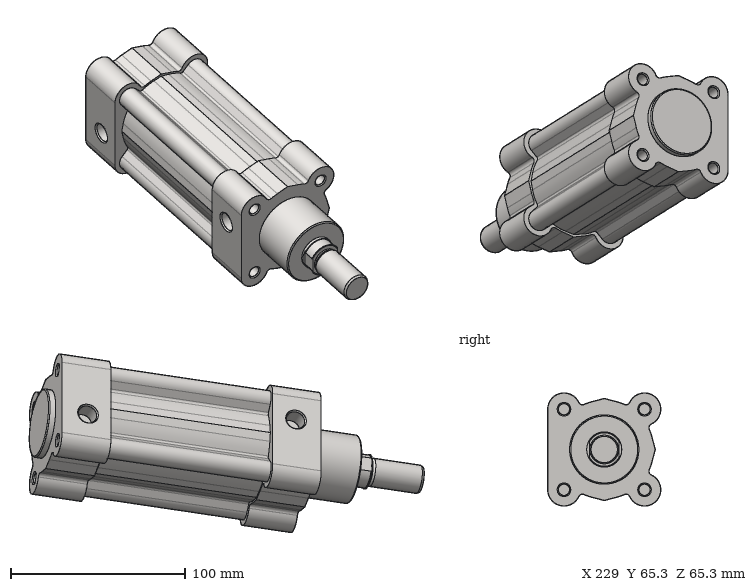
import cadquery as cq
import math



REAR_COVER_START = 4.1
TUBE_START = 33.5
TUBE_END = 130.5
FRONT_COVER_END = 159.5
COLLAR_END = 188.0
FLATS_START = 189.2
RELIEF_START = 189.8
RELIEF_END = 196.7
SHOULDER_END = 197.2
NECK_END = 198.3
ROD_TIP = 229.0

LOBE_PITCH = 46.3
LOBE_OFFSET = LOBE_PITCH / 2

JUNCTION_MIN_ANGLE = 22.0
RADIUS_TOLERANCE = 0.11

COVER_LOBE_RADIUS = 9.5
COVER_BODY_RADIUS = 28.5
COVER_RIDGE_ANGLE = 14.7
COVER_FILLET = 2.3
PORT_FACE = LOBE_OFFSET + COVER_LOBE_RADIUS
COLLAR_RADIUS = 20.0
COLLAR_CHAMFER = 0.7

SCREW_RADIUS = 3.2
SCREW_DEPTH = 13.7
SCREW_MOUTH_RADIUS = 4.0
SCREW_MOUTH_DEPTH = 0.7

PORT_RADIUS = 5.5
PORT_DEPTH = 11.5
PORT_MOUTH_RADIUS = 6.2
PORT_MOUTH_DEPTH = 1.0
PORT_HEIGHT = 8.2
REAR_PORT_X = 19.7
FRONT_PORT_X = 144.5

TUBE_LOBE_RADIUS = 6.2
TUBE_BODY_RADIUS = 27.3
TUBE_RIDGE_ANGLE = 11.1
TUBE_FILLET = 1.5

ROD_RADIUS = 10.0
RELIEF_RADIUS = 9.6
FLATS_WIDTH = 17.2
THREAD_RADIUS = 8.2
THREAD_CHAMFER_DEPTH = 0.7
THREAD_CHAMFER_LENGTH = 1.4

QUADRANTS = (0, 90, 180, 270)
DIAGONALS = (45, 135, 225, 315)


def section_plane(x):
    """Plane across the axis: local x is +Y, local y is +Z, extrusion goes towards +X."""
    return cq.Workplane("YZ", origin=(x, 0, 0))


def axial_cylinder(start, end, radius):
    return section_plane(start).circle(radius).extrude(end - start)


def ridged_body(start, end, radius, ridge_angle):
    """Round bar whose four sides rise tangentially to a shallow ridge."""
    half_width = radius * math.sin(math.radians(ridge_angle))
    tangent_height = radius * math.cos(math.radians(ridge_angle))
    peak_height = radius / math.cos(math.radians(ridge_angle))
    ridge_outline = [(0, 0), (half_width, tangent_height), (0, peak_height), (-half_width, tangent_height)]
    ridge = section_plane(start).polyline(ridge_outline).close().extrude(end - start)
    body = axial_cylinder(start, end, radius)
    for angle in QUADRANTS:
        body = body.union(ridge.rotate((0, 0, 0), (1, 0, 0), angle))
    return body


def corner_lobes(start, end, radius):
    corners = section_plane(start).rect(LOBE_PITCH, LOBE_PITCH, forConstruction=True).vertices()
    return corners.circle(radius).extrude(end - start)


def fillet_lobe_junctions(profile, body_radius, fillet_radius):
    """Round the inside corners where the lobes or their webs leave the round body."""

    def is_junction(edge):
        centre = edge.Center()
        angle_from_side = math.degrees(math.atan2(abs(centre.y), abs(centre.z)))
        off_ridge = JUNCTION_MIN_ANGLE < angle_from_side < 90 - JUNCTION_MIN_ANGLE
        return off_ridge and abs(math.hypot(centre.y, centre.z) - body_radius) < RADIUS_TOLERANCE

    junctions = [edge for edge in profile.edges("|X").vals() if is_junction(edge)]
    return profile.newObject(junctions).fillet(fillet_radius)


def cover_block(start, end):
    """Lobed block with a full-width flat on the -Y side."""
    length = end - start
    block = ridged_body(start, end, COVER_BODY_RADIUS, COVER_RIDGE_ANGLE)
    block = block.union(corner_lobes(start, end, COVER_LOBE_RADIUS))
    port_side = section_plane(start).center(-PORT_FACE / 2, 0).rect(PORT_FACE, LOBE_PITCH).extrude(length)
    return fillet_lobe_junctions(block.union(port_side), COVER_BODY_RADIUS, COVER_FILLET)


def chamfered_drill(radius, depth, mouth_radius, mouth_depth):
    """Cutting tool for a blind hole that enters the Z = 0 plane towards +Z."""
    half_section = [(0, 0), (mouth_radius, 0), (radius, mouth_depth), (radius, depth), (0, depth)]
    return cq.Workplane("XZ").polyline(half_section).close().revolve(360, (0, 0, 0), (0, 1, 0))


def cut_port(cover, x, z):
    drill = chamfered_drill(PORT_RADIUS, PORT_DEPTH, PORT_MOUTH_RADIUS, PORT_MOUTH_DEPTH)
    drill = drill.rotate((0, 0, 0), (1, 0, 0), -90)
    return cover.cut(drill.translate((x, -PORT_FACE, z)))


def cut_screw_holes(cover, face_x, inward):
    """Four blind holes on the lobe centres; inward is +1 or -1 along X."""
    drill = chamfered_drill(SCREW_RADIUS, SCREW_DEPTH, SCREW_MOUTH_RADIUS, SCREW_MOUTH_DEPTH)
    drill = drill.rotate((0, 0, 0), (0, 1, 0), 90 * inward)
    for y in (-LOBE_OFFSET, LOBE_OFFSET):
        for z in (-LOBE_OFFSET, LOBE_OFFSET):
            cover = cover.cut(drill.translate((face_x, y, z)))
    return cover


def make_rear_cover():
    """Cover block with a round centring boss on its rear face."""
    boss = axial_cylinder(0, TUBE_START, COLLAR_RADIUS).faces("<X").chamfer(COLLAR_CHAMFER)
    cover = cover_block(REAR_COVER_START, TUBE_START).union(boss)
    cover = cut_port(cover, REAR_PORT_X, -PORT_HEIGHT)
    return cut_screw_holes(cover, REAR_COVER_START, 1)


def make_front_cover():
    """Cover block with a long round collar that the rod leaves from."""
    collar = axial_cylinder(TUBE_END, COLLAR_END, COLLAR_RADIUS).faces(">X").chamfer(COLLAR_CHAMFER)
    cover = cover_block(TUBE_END, FRONT_COVER_END).union(collar)
    cover = cut_port(cover, FRONT_PORT_X, PORT_HEIGHT)
    return cut_screw_holes(cover, FRONT_COVER_END, -1)


def make_tube():
    """Extruded barrel; diagonal webs as wide as the lobes tie the lobes to the body."""
    length = TUBE_END - TUBE_START
    tube = ridged_body(TUBE_START, TUBE_END, TUBE_BODY_RADIUS, TUBE_RIDGE_ANGLE)
    tube = tube.union(corner_lobes(TUBE_START, TUBE_END, TUBE_LOBE_RADIUS))
    lobe_distance = LOBE_OFFSET * math.sqrt(2)
    web = section_plane(TUBE_START).center(lobe_distance / 2, 0)
    web = web.rect(lobe_distance, 2 * TUBE_LOBE_RADIUS).extrude(length)
    for angle in DIAGONALS:
        tube = tube.union(web.rotate((0, 0, 0), (1, 0, 0), angle))
    return fillet_lobe_junctions(tube, TUBE_BODY_RADIUS, TUBE_FILLET)


def make_piston_rod():
    """Rod with wrench flats across a shallow relief, a thread undercut and a plain thread envelope."""
    neck_radius = THREAD_RADIUS - THREAD_CHAMFER_DEPTH
    half_section = [
        (COLLAR_END, 0),
        (COLLAR_END, ROD_RADIUS),
        (RELIEF_START, ROD_RADIUS),
        (RELIEF_START, RELIEF_RADIUS),
        (RELIEF_END, RELIEF_RADIUS),
        (RELIEF_END, ROD_RADIUS),
        (SHOULDER_END, ROD_RADIUS),
        (SHOULDER_END, neck_radius),
        (NECK_END, neck_radius),
        (NECK_END + THREAD_CHAMFER_LENGTH, THREAD_RADIUS),
        (ROD_TIP - THREAD_CHAMFER_LENGTH, THREAD_RADIUS),
        (ROD_TIP, neck_radius),
        (ROD_TIP, 0),
    ]
    rod = cq.Workplane("XY").polyline(half_section).close().revolve(360, (0, 0, 0), (1, 0, 0))
    flats_length = SHOULDER_END - FLATS_START
    outer_block = section_plane(FLATS_START).rect(2 * ROD_RADIUS, 2 * ROD_RADIUS).extrude(flats_length)
    kept_block = section_plane(FLATS_START).rect(FLATS_WIDTH, 2 * ROD_RADIUS).extrude(flats_length)
    return rod.cut(outer_block.cut(kept_block))


rear_cover = make_rear_cover()
tube = make_tube()
front_cover = make_front_cover()
piston_rod = make_piston_rod()

result = cq.Compound.makeCompound([rear_cover.val(), tube.val(), front_cover.val(), piston_rod.val()])